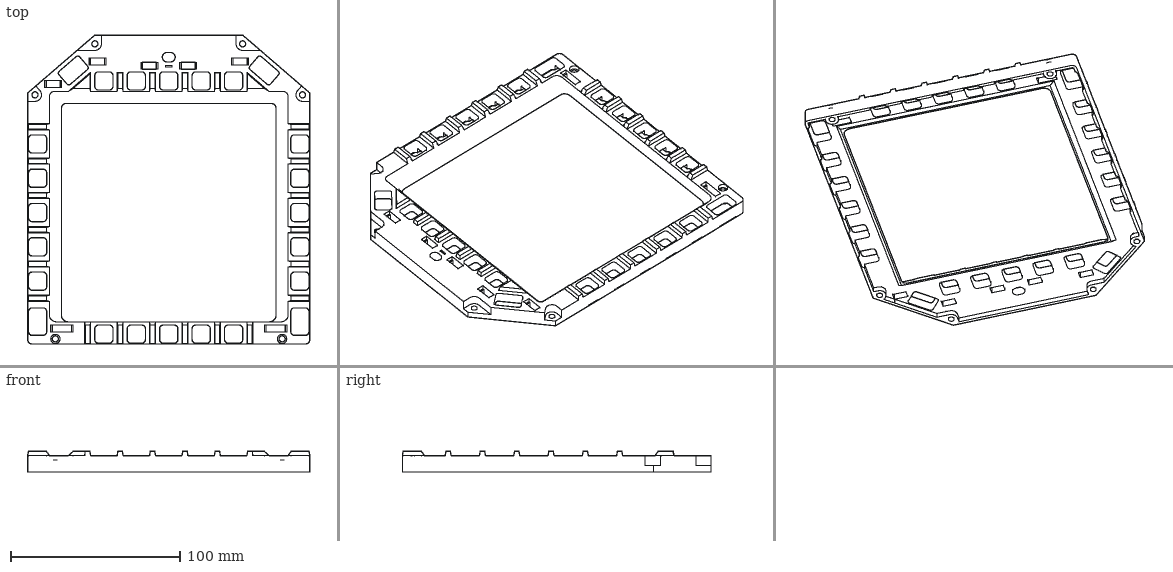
import cadquery as cq
import math

width = 167.0
length = 182.6
height = 12.5
deck_z = 9.9
ridge_height = height - deck_z
half_width = width / 2
half_length = length / 2
top_edge_half = 43.8
shoulder_y = 57.2
corner_radius = 2.7
edge_angle = math.atan2(half_length - shoulder_y, half_width - top_edge_half)

window_floor_half = 63.4
window_deck_half = 70.5
window_floor_top_y = 27.9
window_deck_top_y = 58.0
window_bottom_y = -78.2
window_lean = (window_deck_half - window_floor_half) / deck_z
window_fillet = 3.7

hollow_depth = 3.3
skirt_thickness = 1.8
lip_thickness = 1.1
skirt_corner_radius = 1.0

key_size = 10.6
key_radius = 2.0
key_wall = 0.64
key_pitch_x = 19.2
key_pitch_y = 20.3
key_count = 5
side_key_x = half_width - key_wall - key_size / 2
bottom_key_y = -half_length + key_wall + key_size / 2
top_key_y = 64.3
side_key_top_y = 27.0
long_key_length = 16.0
long_key_y = -78.0

ridge_width = 3.7
ridge_draft = 10.0
ridge_top_y = 69.4
pad_inner_x = 46.2
ridge_overlap = 5.5

screw_diameter = 3.5
counterbore_diameter = 5.5
counterbore_depth = 2.5
bottom_screw = (67.0, -88.2)
upper_screw = (43.6, 86.2)
side_screw = (79.0, 56.0)
recess_floor_z = 4.0
recess_radius = 3.8

slot_width = 4.0
slot_ledge = 1.0
slot_ledge_depth = 2.5
slot_length = 10.0
bottom_slot_length = 13.1
slots = [
    (42.2, 75.8, slot_length),
    (-42.2, 75.8, slot_length),
    (11.5, 73.2, slot_length),
    (-11.5, 73.2, slot_length),
    (-68.3, 62.5, slot_length),
    (63.2, -82.0, bottom_slot_length),
    (-63.2, -82.0, bottom_slot_length),
]
corner_opening = (56.5, 70.5)
corner_opening_length = 16.0
corner_opening_width = 10.0
corner_opening_radius = 1.5
centre_hole_y = 78.3
centre_hole_length = 7.5
centre_hole_width = 5.5
notch_y = 72.9
notch_length = 3.7
notch_width = 1.0
notch_depth = 1.0


def block(x, y, size_x, size_y, bottom=0.0, top=height):
    plane = cq.Workplane("XY").workplane(offset=bottom)
    return plane.center(x, y).rect(size_x, size_y).extrude(top - bottom)


def disc(x, y, diameter, bottom=0.0, top=height):
    return cq.Workplane("XY").workplane(offset=bottom).center(x, y).circle(diameter / 2).extrude(top - bottom)


def both_sides(shape):
    return shape.union(shape.mirror("YZ"))


def outline_plate(inset, thickness, radius):
    """Plate with the outer shape of the frame, its edge moved inwards by inset."""
    edge_shift = inset * math.tan(edge_angle / 2)
    shoulder_shift = inset * math.tan((math.pi / 2 - edge_angle) / 2)
    right_side = [
        (half_width - inset, -half_length + inset),
        (half_width - inset, shoulder_y - shoulder_shift),
        (top_edge_half - edge_shift, half_length - inset),
    ]
    left_side = [(-x, y) for x, y in reversed(right_side)]
    plate = cq.Workplane("XY").polyline(right_side + left_side).close().extrude(thickness)
    return plate.edges("|Z and <Y").fillet(radius)


def hollow():
    """Space under the deck, leaving the skirt, the window lip and solid pads at the edge screws."""
    space = outline_plate(skirt_thickness, hollow_depth, skirt_corner_radius)
    space = space.cut(leaning_cutter(0, hollow_depth, False, lip_thickness))
    space = space.cut(both_sides(upper_screw_seat(0, hollow_depth)))
    space = space.cut(both_sides(side_screw_seat(0, hollow_depth)))
    bottom_boss = disc(*bottom_screw, 2 * recess_radius, 0, hollow_depth)
    return space.cut(both_sides(bottom_boss))


def window_section(z, bottom_edge_leans, margin):
    """Size in X, lower Y and upper Y of the window at height z, grown all round by margin."""
    lean = (z - deck_z) * window_lean
    bottom_lean = lean if bottom_edge_leans else 0
    lower_y = window_bottom_y - bottom_lean - margin
    upper_y = window_deck_top_y + lean + margin
    return 2 * (window_deck_half + lean + margin), lower_y, upper_y


def leaning_cutter(bottom, top, bottom_edge_leans, margin=0.0):
    """Window-shaped solid between two heights; the -Y wall leans or stays upright."""
    low_x, low_start, low_end = window_section(bottom, bottom_edge_leans, margin)
    high_x, high_start, high_end = window_section(top, bottom_edge_leans, margin)
    low_middle = (low_start + low_end) / 2
    high_middle = (high_start + high_end) / 2
    plane = cq.Workplane("XY").workplane(offset=bottom).center(0, low_middle)
    plane = plane.rect(low_x, low_end - low_start)
    plane = plane.workplane(offset=top - bottom).center(0, high_middle - low_middle)
    return plane.rect(high_x, high_end - high_start).loft(ruled=True)


def window():
    opening = leaning_cutter(0, deck_z, False)
    return opening.edges("not(|X or |Y)").fillet(window_fillet)


def ridge(x, y, size_x, size_y):
    plane = cq.Workplane("XY").workplane(offset=deck_z).center(x, y)
    return plane.rect(size_x, size_y).extrude(ridge_height, taper=ridge_draft)


def corner_pad():
    """Raised triangle filling the gap between the top key row and the sloping corner edge."""
    inner_y = window_deck_top_y - ridge_overlap
    outer_x = pad_inner_x + (ridge_top_y - inner_y) / math.tan(edge_angle)
    outline = [(pad_inner_x, ridge_top_y), (pad_inner_x, inner_y), (outer_x, inner_y)]
    plane = cq.Workplane("XY").workplane(offset=deck_z)
    return both_sides(plane.polyline(outline).close().extrude(ridge_height, taper=ridge_draft))


def ridges():
    side_inner_x = window_deck_half - ridge_overlap
    top_inner_y = window_deck_top_y - ridge_overlap
    bottom_inner_y = window_bottom_y + ridge_overlap
    raised = corner_pad()
    for i in range(key_count + 1):
        x = (i - key_count / 2) * key_pitch_x
        y = side_key_top_y + (0.5 - i) * key_pitch_y
        bottom_middle = (bottom_inner_y - half_length) / 2
        raised = raised.union(ridge(x, bottom_middle, ridge_width, bottom_inner_y + half_length))
        side = ridge((side_inner_x + half_width) / 2, y, half_width - side_inner_x, ridge_width)
        raised = raised.union(both_sides(side))
        if 0 < i < key_count:
            top_middle = (top_inner_y + ridge_top_y) / 2
            raised = raised.union(ridge(x, top_middle, ridge_width, ridge_top_y - top_inner_y))
    return raised.cut(leaning_cutter(deck_z, height, True))


def key_hole(x, y, size_y=key_size):
    return block(x, y, key_size, size_y).edges("|Z").fillet(key_radius)


def key_holes():
    holes = both_sides(key_hole(side_key_x, long_key_y, long_key_length))
    for i in range(key_count):
        x = (i - (key_count - 1) / 2) * key_pitch_x
        holes = holes.union(key_hole(x, top_key_y)).union(key_hole(x, bottom_key_y))
        holes = holes.union(both_sides(key_hole(side_key_x, side_key_top_y - i * key_pitch_y)))
    return holes


def slot(x, y, size_x):
    through = block(x, y, size_x - 2 * slot_ledge, slot_width)
    return through.union(block(x, y, size_x, slot_width, deck_z - slot_ledge_depth))


def upper_screw_seat(bottom, top):
    """Area around an upper screw, reaching out past the top edge and the sloping edge."""
    x, y = upper_screw
    inner_x = x - recess_radius
    inner_y = y - recess_radius
    size_x = half_width - inner_x
    size_y = half_length - inner_y
    seat = block(inner_x + size_x / 2, inner_y + size_y / 2, size_x, size_y, bottom, top)
    return seat.edges("|Z and <X and <Y").fillet(recess_radius)


def side_screw_seat(bottom, top):
    """Round seat opened straight out through the side and through the sloping edge."""
    x, y = side_screw
    reach = 2 * recess_radius
    channel = block(x + reach / 2, y, reach, 2 * recess_radius, bottom, top)
    outward = 90 - math.degrees(edge_angle)
    seat = disc(x, y, 2 * recess_radius, bottom, top).union(channel)
    return seat.union(channel.rotate((x, y, 0), (x, y, 1), outward))


def screw_holes():
    holes = disc(*bottom_screw, counterbore_diameter, deck_z - counterbore_depth)
    for x, y in (bottom_screw, upper_screw, side_screw):
        holes = holes.union(disc(x, y, screw_diameter))
    return both_sides(holes)


def corner_openings():
    x, y = corner_opening
    opening = block(x, y, corner_opening_length, corner_opening_width)
    opening = opening.edges("|Z").fillet(corner_opening_radius)
    return both_sides(opening.rotate((x, y, 0), (x, y, 1), -math.degrees(edge_angle)))


def centre_hole():
    plane = cq.Workplane("XY").center(0, centre_hole_y)
    return plane.slot2D(centre_hole_length, centre_hole_width).extrude(height)


result = outline_plate(0, deck_z, corner_radius).cut(hollow()).cut(window()).union(ridges())
result = result.cut(key_holes()).cut(corner_openings()).cut(centre_hole()).cut(screw_holes())
result = result.cut(both_sides(upper_screw_seat(recess_floor_z, height)))
result = result.cut(both_sides(side_screw_seat(recess_floor_z, height)))
result = result.cut(block(0, notch_y, notch_length, notch_width, deck_z - notch_depth))
for slot_x, slot_y, size in slots:
    result = result.cut(slot(slot_x, slot_y, size))